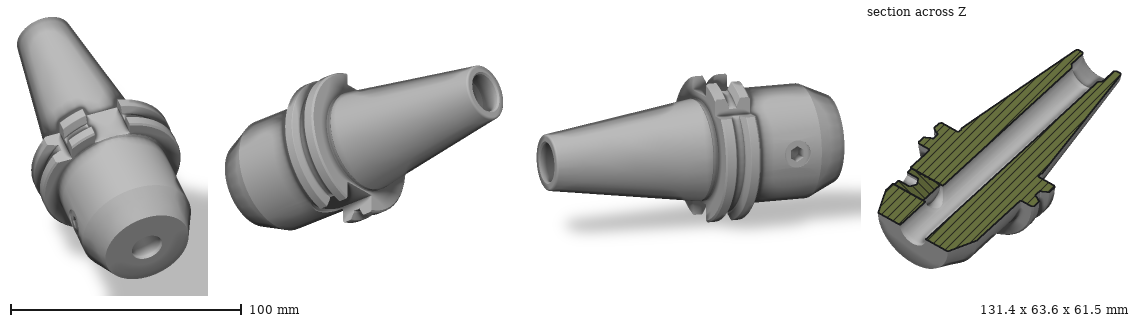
import cadquery as cq
import math


taper_start = -68.4
taper_end = 0.6
gauge_radius = 44.45 / 2
taper_ratio = 7 / 24
small_end_radius = gauge_radius + taper_start * taper_ratio / 2
large_end_radius = gauge_radius + taper_end * taper_ratio / 2
small_end_fillet = 1.0
neck_step_chamfer = 0.4
neck_root_chamfer = 0.4
neck_radius = large_end_radius - neck_step_chamfer

flange_front = 2.9
flange_back = 19.1
flange_radius = 63.55 / 2
flange_chamfer = 0.75
vee_center = 11.1
vee_floor_radius = 56.25 / 2
vee_floor_width = 3.5
vee_wall_height = 0.7
vee_half_angle = math.radians(30)
vee_rim_fillet = 0.5

body_radius = 25.0
body_root_fillet = 0.8
nose_end = 63.0
nose_cone_length = 12.9
nose_radius = 19.2

slot_width = 16.1
top_slot_floor = 25.0
bottom_slot_floor = 22.8
bottom_slot_end_center = 19.5
notch_side = 18.5
notch_floor = 18.5

bore_radius = 7.0
pilot_radius = 8.5
pilot_depth = 8.7
pilot_entry_chamfer = 0.7
pilot_bottom_half_angle = math.radians(45)

screw_x = 38.9
screw_radius = 6.0
screw_face_y = -math.sqrt(body_radius**2 - screw_radius**2)
screw_length = 16.0
socket_flats = 6.0
socket_depth = 6.0
socket_tip_half_angle = math.radians(60)


def make_blank():
    """Revolved outside shape of the holder."""
    vee_wall_radius = vee_floor_radius + vee_wall_height
    floor_half = vee_floor_width / 2
    rim_half = floor_half + (flange_radius - vee_wall_radius) * math.tan(vee_half_angle)
    rim_radius = flange_radius - flange_chamfer
    profile = (
        cq.Workplane("XY")
        .moveTo(taper_start, 0)
        .lineTo(taper_start, small_end_radius)
        .lineTo(taper_end, large_end_radius)
        .lineTo(taper_end + neck_step_chamfer, neck_radius)
        .lineTo(flange_front - neck_root_chamfer, neck_radius)
        .lineTo(flange_front, neck_radius + neck_root_chamfer)
        .lineTo(flange_front, rim_radius)
        .lineTo(flange_front + flange_chamfer, flange_radius)
        .lineTo(vee_center - rim_half, flange_radius)
        .lineTo(vee_center - floor_half, vee_wall_radius)
        .lineTo(vee_center - floor_half, vee_floor_radius)
        .lineTo(vee_center + floor_half, vee_floor_radius)
        .lineTo(vee_center + floor_half, vee_wall_radius)
        .lineTo(vee_center + rim_half, flange_radius)
        .lineTo(flange_back - flange_chamfer, flange_radius)
        .lineTo(flange_back, rim_radius)
        .lineTo(flange_back, body_radius + body_root_fillet)
        .radiusArc((flange_back + body_root_fillet, body_radius), -body_root_fillet)
        .lineTo(nose_end - nose_cone_length, body_radius)
        .lineTo(nose_end, nose_radius)
        .lineTo(nose_end, 0)
        .close()
    )
    blank = profile.revolve(360, (0, 0, 0), (1, 0, 0))
    blank = blank.faces("<X").edges().fillet(small_end_fillet)
    for rim_x in (vee_center - rim_half, vee_center + rim_half):
        rim = cq.selectors.BoxSelector(
            (rim_x - vee_rim_fillet, -flange_radius, -flange_radius),
            (rim_x + vee_rim_fillet, flange_radius, flange_radius),
        )
        blank = blank.edges("%CIRCLE").edges(rim).fillet(vee_rim_fillet)
    return blank


def make_bore():
    """Through bore with the chamfered pilot and its conical bottom."""
    pilot_end = taper_start + pilot_depth
    cone_length = (pilot_radius - bore_radius) / math.tan(pilot_bottom_half_angle)
    profile = (
        cq.Workplane("XY")
        .moveTo(taper_start, 0)
        .lineTo(taper_start, pilot_radius + pilot_entry_chamfer)
        .lineTo(taper_start + pilot_entry_chamfer, pilot_radius)
        .lineTo(pilot_end, pilot_radius)
        .lineTo(pilot_end + cone_length, bore_radius)
        .lineTo(nose_end, bore_radius)
        .lineTo(nose_end, 0)
        .close()
    )
    return profile.revolve(360, (0, 0, 0), (1, 0, 0))


def box_between(x_range, y_range, z_range):
    """Block given by its limits along each axis."""
    ranges = (x_range, y_range, z_range)
    size = [high - low for low, high in ranges]
    corner = tuple(low for low, high in ranges)
    return cq.Workplane("XY").box(*size, centered=False).translate(corner)


def make_flange_cuts():
    """Top and bottom drive slots and the corner notch; the bottom slot runs out with a round end."""
    flange_range = (flange_front, flange_back)
    slot_range = (-slot_width / 2, slot_width / 2)
    top_slot = box_between(flange_range, slot_range, (top_slot_floor, flange_radius))
    bottom_range = (-flange_radius, -bottom_slot_floor)
    bottom_slot = box_between((flange_front, bottom_slot_end_center), slot_range, bottom_range)
    slot_end = (
        cq.Workplane("XY", origin=(bottom_slot_end_center, 0, -flange_radius))
        .circle(slot_width / 2)
        .extrude(flange_radius - bottom_slot_floor)
    )
    notch = box_between(flange_range, (-flange_radius, -notch_side), (notch_floor, flange_radius))
    return [top_slot, bottom_slot, slot_end, notch]


def make_screw_cylinder(outer_y, inner_y):
    """Cylinder of the screw's diameter between two places along Y."""
    return (
        cq.Workplane("XZ", origin=(screw_x, outer_y, 0))
        .circle(screw_radius)
        .extrude(outer_y - inner_y)
    )


def make_holder():
    """Holder with its bore, its flange cuts and the hole for the clamping screw."""
    holder = make_blank().cut(make_bore())
    for flange_cut in make_flange_cuts():
        holder = holder.cut(flange_cut)
    bore_axis_y = 0
    return holder.cut(make_screw_cylinder(-body_radius, bore_axis_y))


def make_screw():
    """Headless screw with a hexagon socket that ends in a drill point."""
    screw = make_screw_cylinder(screw_face_y, screw_face_y + screw_length)
    socket = (
        cq.Workplane("XZ", origin=(screw_x, screw_face_y, 0))
        .transformed(rotate=(0, 0, 90))
        .polygon(6, socket_flats / math.cos(math.radians(30)))
        .extrude(-socket_depth)
    )
    tip_radius = socket_flats / 2
    tip_length = tip_radius / math.tan(socket_tip_half_angle)
    socket_floor_y = screw_face_y + socket_depth
    tip_base = cq.Vector(screw_x, socket_floor_y, 0)
    tip = cq.Solid.makeCone(tip_radius, 0, tip_length, pnt=tip_base, dir=cq.Vector(0, 1, 0))
    return screw.cut(socket).cut(cq.Workplane(tip))


holder = make_holder()
screw = make_screw()
result = cq.Compound.makeCompound([holder.val(), screw.val()])